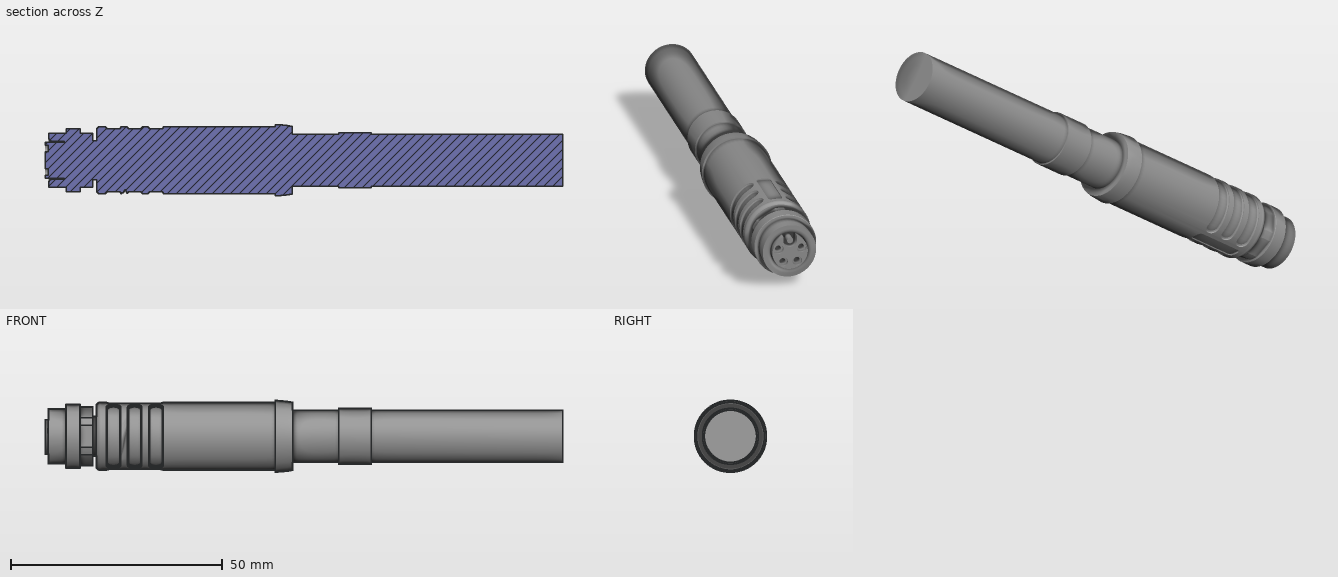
import cadquery as cq
import math

TOTAL_LENGTH = 122.2
SLEEVE_START = 0.7
RING_START = 4.9
HEX_START = 8.3
NECK_START = 11.2
BODY_START = 12.1
FLANGE_START = 54.2
FLANGE_END = 58.4
BAND_START = 69.3
BAND_END = 77.0

SLEEVE_DIAMETER = 13.0
BORE_DIAMETER = 8.8
MOUTH_DIAMETER = 11.0
BORE_DEPTH = 3.7
RING_DIAMETER = 15.0
RING_CHAMFER = 0.1
HEX_ACROSS_FLATS = 13.0
HEX_CORNER_DIAMETER = 13.9
NECK_DIAMETER = 9.4
BODY_DIAMETER = 16.0
FLANGE_DIAMETER = 17.0
BAND_DIAMETER = 13.2
CABLE_DIAMETER = 12.3

BODY_EDGE_LENGTH = 1.2
BODY_EDGE_DEPTH = 0.6
FLANGE_CROWN_DROP = 0.1

INSERT_DIAMETER = 8.5
CONTACT_COUNT = 5
CONTACT_CIRCLE_RADIUS = 2.9
CONTACT_DIAMETER = 1.5
CONTACT_DEPTH = 3.7
COUNTERBORE_DIAMETER = 2.3
COUNTERBORE_DEPTH = 0.6
KEYWAY_WIDTH = 3.3
KEYWAY_DEPTH = BORE_DEPTH

GRIP_FLOOR_DIAMETER = 15.0
GRIP_START = 14.4
GRIP_WIDTH = 3.4
GRIP_PITCH = 5.0
GRIP_COUNT = 3
GRIP_INNER_Y = 2.7
GRIP_FLOOR_BEVEL = 0.2
PANEL_LENGTH = GRIP_PITCH * (GRIP_COUNT - 1) + GRIP_WIDTH
PANEL_CORNER_RADIUS = 1.0


def cylinder_along_x(diameter, start, end):
    return cq.Workplane("YZ", origin=(start, 0, 0)).circle(diameter / 2).extrude(end - start)


def sleeve():
    """Front sleeve with a blind bore and a rounded mouth."""
    mouth_rounding = (MOUTH_DIAMETER - BORE_DIAMETER) / 2
    bore = cylinder_along_x(BORE_DIAMETER, SLEEVE_START, SLEEVE_START + BORE_DEPTH)
    tube = cylinder_along_x(SLEEVE_DIAMETER, SLEEVE_START, RING_START).cut(bore)
    return tube.faces("<X").edges(cq.selectors.RadiusNthSelector(0)).fillet(mouth_rounding)


def ring():
    """Collar with both rims chamfered."""
    return cylinder_along_x(RING_DIAMETER, RING_START, HEX_START).edges("%CIRCLE").chamfer(RING_CHAMFER)


def hexagon():
    """Hexagon with flats facing +Y and -Y and corners turned round."""
    corner_distance = HEX_ACROSS_FLATS / math.cos(math.pi / 6)
    prism = (
        cq.Workplane("YZ", origin=(HEX_START, 0, 0))
        .transformed(rotate=(0, 0, 90))
        .polygon(6, corner_distance)
        .extrude(NECK_START - HEX_START)
    )
    return prism.intersect(cylinder_along_x(HEX_CORNER_DIAMETER, HEX_START, NECK_START))


def body():
    """Grip body with an eased front edge and a crowned flange at its rear."""
    body_radius = BODY_DIAMETER / 2
    flange_radius = FLANGE_DIAMETER / 2
    bend = math.sqrt(0.5)
    return (
        cq.Workplane("XY")
        .moveTo(BODY_START, 0)
        .lineTo(BODY_START, body_radius - BODY_EDGE_DEPTH)
        .threePointArc(
            (BODY_START + BODY_EDGE_LENGTH * (1 - bend), body_radius - BODY_EDGE_DEPTH * (1 - bend)),
            (BODY_START + BODY_EDGE_LENGTH, body_radius),
        )
        .lineTo(FLANGE_START, body_radius)
        .lineTo(FLANGE_START, flange_radius)
        .threePointArc(
            ((FLANGE_START + FLANGE_END) / 2, flange_radius - FLANGE_CROWN_DROP),
            (FLANGE_END, body_radius),
        )
        .lineTo(FLANGE_END, 0)
        .close()
        .revolve(360, (0, 0, 0), (1, 0, 0))
    )


def side_grips():
    """Cutters for round-ended grooves that wrap the -Y and +Y sides, with bevelled floor edges."""
    reach = BODY_DIAMETER
    slot_length = reach - GRIP_INNER_Y
    centers = [
        (GRIP_START + GRIP_WIDTH / 2 + i * GRIP_PITCH, side * (reach + GRIP_INNER_Y) / 2)
        for i in range(GRIP_COUNT)
        for side in (-1, 1)
    ]
    slots = (
        cq.Workplane("XY", origin=(0, 0, -reach / 2))
        .pushPoints(centers)
        .slot2D(slot_length, GRIP_WIDTH, 90)
        .extrude(reach)
    )
    grips = slots.cut(cylinder_along_x(GRIP_FLOOR_DIAMETER, 0, TOTAL_LENGTH))
    box_half = (GRIP_FLOOR_DIAMETER + BODY_DIAMETER) / 4
    floor_edges = cq.selectors.BoxSelector(
        (0, -box_half, -box_half), (TOTAL_LENGTH, box_half, box_half), boundingbox=True
    )
    return grips.edges(floor_edges).chamfer(GRIP_FLOOR_BEVEL)


def flat_panels():
    """Flat-floored rectangular recesses on the +Z and -Z sides of the body."""
    floor = GRIP_FLOOR_DIAMETER / 2
    panel = (
        cq.Workplane("XY", origin=(GRIP_START + PANEL_LENGTH / 2, 0, floor))
        .rect(PANEL_LENGTH, GRIP_WIDTH)
        .extrude(BODY_DIAMETER / 2 - floor)
        .edges("|Z")
        .fillet(PANEL_CORNER_RADIUS)
    )
    return panel.union(panel.mirror("XY"))


def keyway():
    """Round-bottomed keyway, open at the top of the insert and centred on the top contact."""
    length = INSERT_DIAMETER
    cutter = (
        cq.Workplane("YZ")
        .center(0, CONTACT_CIRCLE_RADIUS + (length - KEYWAY_WIDTH) / 2)
        .slot2D(length, KEYWAY_WIDTH, 90)
        .extrude(KEYWAY_DEPTH)
    )
    return cutter.intersect(cylinder_along_x(INSERT_DIAMETER, 0, KEYWAY_DEPTH))


def insert():
    """Contact insert: counterbored sockets, and a pin in the keyway as the top contact."""
    angles = [math.pi / 2 + i * 2 * math.pi / CONTACT_COUNT for i in range(CONTACT_COUNT)]
    contacts = [
        (CONTACT_CIRCLE_RADIUS * math.cos(a), CONTACT_CIRCLE_RADIUS * math.sin(a)) for a in angles
    ]
    key_contact = contacts[:1]
    socket_contacts = contacts[1:]
    face = cq.Workplane("YZ")
    sockets = face.pushPoints(socket_contacts).circle(CONTACT_DIAMETER / 2).extrude(CONTACT_DEPTH)
    counterbores = (
        face.pushPoints(socket_contacts).circle(COUNTERBORE_DIAMETER / 2).extrude(COUNTERBORE_DEPTH)
    )
    key_pin = face.pushPoints(key_contact).circle(CONTACT_DIAMETER / 2).extrude(RING_START)
    block = cylinder_along_x(INSERT_DIAMETER, 0, RING_START)
    return block.cut(keyway()).cut(sockets).cut(counterbores).union(key_pin)


result = (
    sleeve()
    .union(insert())
    .union(ring())
    .union(hexagon())
    .union(cylinder_along_x(NECK_DIAMETER, NECK_START, BODY_START))
    .union(body().cut(side_grips()).cut(flat_panels()))
    .union(cylinder_along_x(CABLE_DIAMETER, FLANGE_END, TOTAL_LENGTH))
    .union(cylinder_along_x(BAND_DIAMETER, BAND_START, BAND_END))
)